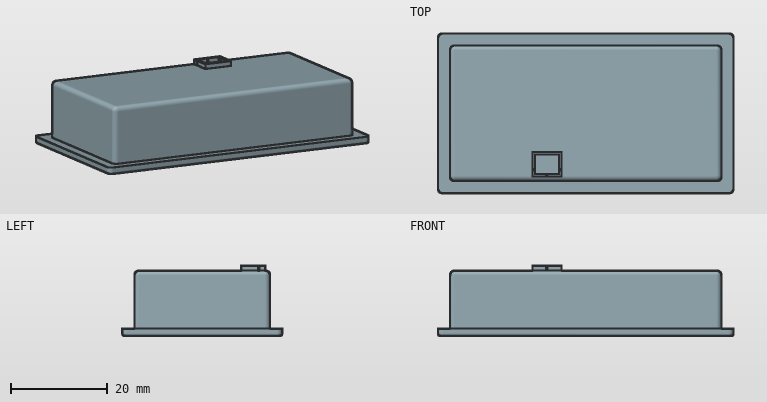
import cadquery as cq

bezel_length = 61.0
bezel_width = 33.0
bezel_thickness = 1.5
bezel_edge_radius = 0.5

bezel_overhang = 2.5
case_length = bezel_length - 2 * bezel_overhang
case_width = bezel_width - 2 * bezel_overhang
case_height = 12.0
case_top = bezel_thickness + case_height

corner_radius = 1.0

collar_length = 6.0
collar_width = 5.0
collar_height = 1.0
collar_wall = 0.5
collar_center_x = -8.0
collar_front_y = -case_width / 2 + corner_radius
collar_center_y = collar_front_y + collar_width / 2
slit_width = 0.3
side_slit_setback = 1.35


def upright_box(length, width, height, center_x, center_y, bottom_z):
    """A box centred on a point in X and Y, rising from bottom_z."""
    return (
        cq.Workplane("XY")
        .box(length, width, height, centered=(True, True, False))
        .translate((center_x, center_y, bottom_z))
    )


def make_bezel():
    """Plate with rounded corners and a rounded lower rim."""
    plate = upright_box(bezel_length, bezel_width, bezel_thickness, 0, 0, 0)
    plate = plate.edges("|Z").fillet(corner_radius)
    return plate.faces("<Z").edges().fillet(bezel_edge_radius)


def make_collar():
    """Rectangular wall with one slit at the front and one on each side."""
    center = (collar_center_x, collar_center_y)
    wall = upright_box(collar_length, collar_width, collar_height, *center, case_top)
    opening = upright_box(
        collar_length - 2 * collar_wall,
        collar_width - 2 * collar_wall,
        collar_height,
        *center,
        case_top,
    )
    front_slit = upright_box(
        slit_width,
        2 * collar_wall,
        collar_height,
        collar_center_x,
        collar_front_y,
        case_top,
    )
    side_slits = upright_box(
        collar_length,
        slit_width,
        collar_height,
        collar_center_x,
        collar_front_y + side_slit_setback,
        case_top,
    )
    return wall.cut(opening).cut(front_slit).cut(side_slits)


def make_case():
    """Box with rounded corners and top edge, carrying the collar."""
    box = upright_box(case_length, case_width, case_height, 0, 0, bezel_thickness)
    box = box.edges("|Z or >Z").fillet(corner_radius)
    return box.union(make_collar())


bezel = make_bezel()
case = make_case()

result = cq.Compound.makeCompound([bezel.val(), *case.vals()])